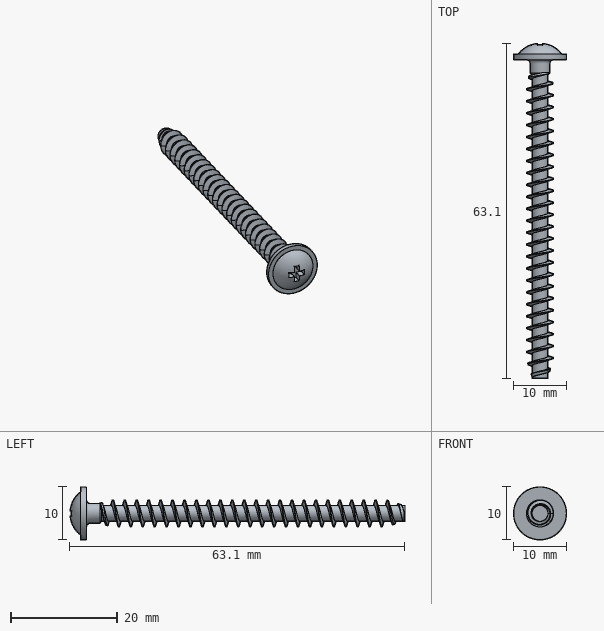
import cadquery as cq
import math

flange_radius = 5.0
flange_thickness = 1.1
flange_edge_fillet = 0.2
dome_base_radius = 4.1
dome_height = 2.055

recess_span = 3.2
recess_wing_width = 1.0
recess_depth = 1.8

screw_length = 60.0
neck_radius = 1.88
neck_end = 2.5
neck_fillet = 0.7
neck_taper_length = 0.3
core_radius = 1.5

pitch = 2.25
crest_radius = 2.55
crest_width = 0.1
thread_angle = 30.0
root_overlap = 0.2
first_turn = 2
turn_shift = 0.1
head_runout_start = 2.35
head_runout_radius = 1.9
head_runout_length = 2.7
tip_runout_end = 59.8
tip_runout_radius = 1.49
tip_runout_length = 3.6
envelope_clearance = 0.1


def make_head_and_shank():
    """Revolve the half outline (radius, height) about the Y axis."""
    flange_top = flange_thickness
    dome_top = flange_top + dome_height
    dome_sphere_radius = (dome_base_radius**2 + dome_height**2) / (2 * dome_height)
    half_angle = math.asin(dome_base_radius / dome_sphere_radius) / 2
    dome_middle = (
        dome_sphere_radius * math.sin(half_angle),
        dome_top - dome_sphere_radius * (1 - math.cos(half_angle)),
    )
    fillet_center = (neck_radius + neck_fillet, -neck_fillet)
    fillet_middle = (
        fillet_center[0] - neck_fillet * math.sqrt(0.5),
        fillet_center[1] + neck_fillet * math.sqrt(0.5),
    )
    outline = (
        cq.Workplane("XY")
        .moveTo(0, dome_top)
        .threePointArc(dome_middle, (dome_base_radius, flange_top))
        .lineTo(flange_radius, flange_top)
        .lineTo(flange_radius, flange_edge_fillet)
        .radiusArc((flange_radius - flange_edge_fillet, 0), flange_edge_fillet)
        .lineTo(fillet_center[0], 0)
        .threePointArc(fillet_middle, (neck_radius, -neck_fillet))
        .lineTo(neck_radius, -neck_end)
        .lineTo(core_radius, -neck_end - neck_taper_length)
        .lineTo(core_radius, -screw_length)
        .lineTo(0, -screw_length)
        .close()
    )
    return outline.revolve(360, (0, 0), (0, 1))


def make_drive_recess():
    """Two crossed slots from the recess floor up to the height of the dome's apex."""
    recess_floor = flange_thickness + dome_height - recess_depth
    floor_plane = cq.Workplane("XZ", origin=(0, recess_floor, 0))
    wing_along_x = floor_plane.rect(recess_span, recess_wing_width).extrude(-recess_depth)
    wing_along_z = floor_plane.rect(recess_wing_width, recess_span).extrude(-recess_depth)
    return wing_along_x.union(wing_along_z)


def make_thread_turn():
    """One turn of thread about the Y axis, rising from Y = 0 on +X to Y = pitch."""
    root_radius = core_radius - root_overlap
    flank_spread = (crest_radius - root_radius) * math.tan(math.radians(thread_angle / 2))
    half_crest = crest_width / 2
    half_root = half_crest + flank_spread
    helix = cq.Wire.makeHelix(pitch, pitch, root_radius)
    turn = (
        cq.Workplane("XZ")
        .moveTo(root_radius, -half_root)
        .lineTo(crest_radius, -half_crest)
        .lineTo(crest_radius, half_crest)
        .lineTo(root_radius, half_root)
        .close()
        .sweep(cq.Workplane(obj=helix), isFrenet=True)
    )
    return turn.rotate((0, 0, 0), (1, 0, 0), -90)


def make_runout_envelope():
    """Solid of revolution whose end cones shorten the crest of the first and last turns."""
    clear_radius = crest_radius + envelope_clearance
    envelope = (
        cq.Workplane("XY")
        .moveTo(0, -head_runout_start)
        .lineTo(head_runout_radius, -head_runout_start)
        .lineTo(clear_radius, -head_runout_start - head_runout_length)
        .lineTo(clear_radius, tip_runout_length - tip_runout_end)
        .lineTo(tip_runout_radius, -tip_runout_end)
        .lineTo(0, -tip_runout_end)
        .close()
    )
    return envelope.revolve(360, (0, 0), (0, 1))


def make_thread_turns():
    """All turns, numbered by how many pitches each starts below the flange."""
    turn = make_thread_turn()
    envelope = make_runout_envelope()
    last_turn = math.ceil(screw_length / pitch)
    turns = []
    for number in range(first_turn, last_turn + 1):
        start = number * pitch - turn_shift
        placed = turn.translate((0, -start, 0))
        near_head = start - pitch < head_runout_start + head_runout_length + pitch
        near_tip = start + pitch > tip_runout_end - tip_runout_length
        if near_head or near_tip:
            placed = placed.intersect(envelope)
        turns.append(placed.val())
    return turns


body = make_head_and_shank().cut(make_drive_recess()).val()
result = cq.Workplane(obj=body.fuse(*make_thread_turns()))